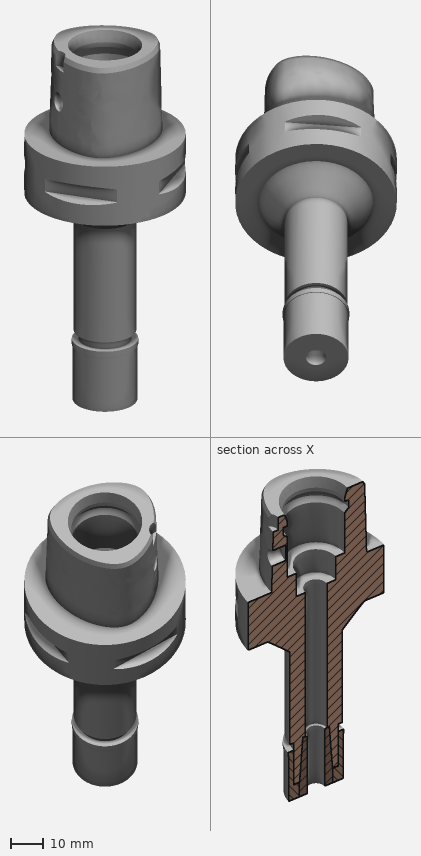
import cadquery as cq
import math

total_height = 120.0

flange_diameter = 50.0
flange_radius = flange_diameter / 2
flange_height = 20.0
cone_height = 8.0
cone_top_radius = 17.8
stem_radius = 9.7

shank_height = 30.0
shank_mean_radius = 17.5
shank_lobe = 1.12
lobe_count = 3
taper_per_length = 0.025
shank_chamfer = 1.5
shank_top_inset = 0.7
outline_points = 24

mouth_radius = 11.5
lip_radius = 10.5
lip_depth = 3.7
land_end = 5.3
clamp_groove_radius = 12.0
clamp_groove_end = 8.3
throat_start = 9.8
throat_end = 26.4
chamber_radius = 7.2
chamber_end = 36.0
stem_bore_radius = 4.0

notch_radius = 3.4
notch_depth = 5.2
notch_center_y = -17.3
cross_hole_radius = 3.1
cross_hole_drop = 16.1
cross_hole_floor = 11.3

slot_width = 23.8
slot_floor_height = 4.3
slot_mouth_height = 6.5
slot_count = 4
slot_floor_distance = 21.8
slot_drop = 10.1

nut_radius = 10.1
nut_body_height = 18.7
collar_radius = 10.3
collar_height = 1.8
relief_height = 2.9
spigot_radius = 8.3
nut_floor = 6.0
collet_hole_radius = 3.1
collet_large_radius = 6.0
collet_small_radius = 4.8
collet_length = 24.0

flange_top = total_height - shank_height
flange_bottom = flange_top - flange_height
stem_top = flange_bottom - cone_height
collar_top = nut_body_height + collar_height
stem_bottom = collar_top + relief_height


def polygon_wire(mean_radius, z):
    """Closed three-lobed wire of constant width with one lobe pointing to +Y."""
    points = []
    for i in range(outline_points):
        angle = 2 * math.pi * i / outline_points
        reach = mean_radius + shank_lobe * math.cos(lobe_count * angle)
        slope = -lobe_count * shank_lobe * math.sin(lobe_count * angle)
        along = reach * math.cos(angle) - slope * math.sin(angle)
        across = reach * math.sin(angle) + slope * math.cos(angle)
        points.append(cq.Vector(-across, along, z))
    return cq.Wire.assembleEdges([cq.Edge.makeSpline(points, periodic=True)])


def make_shank():
    """Tapered polygon shank with a chamfered top edge."""
    edge_z = total_height - shank_chamfer
    edge_radius = shank_mean_radius - taper_per_length * (edge_z - flange_top)
    base = polygon_wire(shank_mean_radius, flange_top)
    edge = polygon_wire(edge_radius, edge_z)
    top = polygon_wire(edge_radius - shank_top_inset, total_height)
    taper = cq.Solid.makeLoft([base, edge], True)
    chamfer = cq.Solid.makeLoft([edge, top], True)
    return cq.Workplane(taper).union(cq.Workplane(chamfer))


def revolve_profile(points):
    """Turn a closed (radius, z) outline about the Z axis."""
    return cq.Workplane("XZ").polyline(points).close().revolve(360, (0, 0, 0), (0, 1, 0))


def make_turned_body():
    """Flange, cone, stem and the spigot that enters the nut."""
    return revolve_profile([
        (0, flange_top),
        (flange_radius, flange_top),
        (flange_radius, flange_bottom),
        (cone_top_radius, flange_bottom),
        (stem_radius, stem_top),
        (stem_radius, stem_bottom),
        (spigot_radius, stem_bottom),
        (spigot_radius, nut_floor),
        (0, nut_floor),
    ])


def make_bore():
    """Stepped bore from the shank mouth down to the collet."""
    return revolve_profile([
        (0, total_height),
        (mouth_radius, total_height),
        (lip_radius, total_height - lip_depth),
        (lip_radius, total_height - land_end),
        (clamp_groove_radius, total_height - land_end),
        (clamp_groove_radius, total_height - clamp_groove_end),
        (lip_radius, total_height - throat_start),
        (lip_radius, total_height - throat_end),
        (chamber_radius, total_height - throat_end),
        (chamber_radius, total_height - chamber_end),
        (stem_bore_radius, total_height - chamber_end),
        (stem_bore_radius, 0),
        (0, 0),
    ])


def make_gripper_slots():
    """Four slots on the diagonals of the flange, with flat floors and flared flanks."""
    floor_half = slot_floor_height / 2
    mouth_half = slot_mouth_height / 2
    slot = (
        cq.Workplane("XZ", origin=(0, slot_width / 2, flange_top - slot_drop))
        .moveTo(slot_floor_distance, -floor_half)
        .lineTo(flange_radius, -mouth_half)
        .lineTo(flange_radius, mouth_half)
        .lineTo(slot_floor_distance, floor_half)
        .close()
        .extrude(slot_width)
    )
    slots = cq.Workplane()
    for i in range(slot_count):
        slots = slots.add(slot.rotate((0, 0, 0), (0, 0, 1), (i + 0.5) * 360 / slot_count))
    return slots.combine()


def collet_envelope():
    """Outer shape of the collet: a cylinder at the nut, then a taper."""
    return revolve_profile([
        (0, 0),
        (collet_large_radius, 0),
        (collet_large_radius, nut_floor),
        (collet_small_radius, collet_length),
        (0, collet_length),
    ])


def make_holder():
    """Shank, flange and stem with the bore, notch, cross hole, slots and collet seat cut away."""
    notch = (
        cq.Workplane(origin=(0, notch_center_y, total_height - notch_depth))
        .circle(notch_radius)
        .extrude(notch_depth)
    )
    cross_hole = (
        cq.Workplane("XZ", origin=(0, -cross_hole_floor, total_height - cross_hole_drop))
        .circle(cross_hole_radius)
        .extrude(flange_radius)
    )
    return (
        make_turned_body()
        .union(make_shank())
        .cut(make_bore())
        .cut(notch)
        .cut(cross_hole)
        .cut(make_gripper_slots())
        .cut(collet_envelope())
    )


def make_nut():
    """Collared nut around the spigot, with an opening in its floor for the collet."""
    body = cq.Workplane().circle(nut_radius).extrude(nut_body_height)
    collar = cq.Workplane(origin=(0, 0, nut_body_height)).circle(collar_radius).extrude(collar_height)
    thread_bore = cq.Workplane(origin=(0, 0, nut_floor)).circle(spigot_radius).extrude(collar_top - nut_floor)
    return body.union(collar).cut(thread_bore).cut(collet_envelope())


def make_collet():
    """Tapered collet with a straight through hole."""
    hole = cq.Workplane().circle(collet_hole_radius).extrude(collet_length)
    return collet_envelope().cut(hole)


holder = make_holder()
nut = make_nut()
collet = make_collet()

result = cq.Compound.makeCompound([holder.val(), nut.val(), collet.val()])